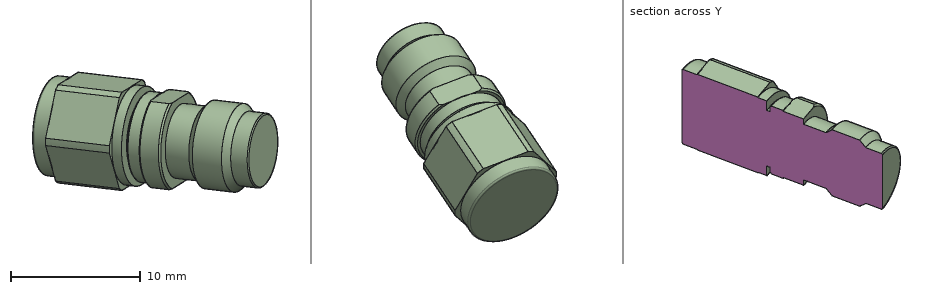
import math

import cadquery as cq


total_length = 17.8
hex_start = 1.36
hex_end = 6.73
collar_end = 7.54
ring_start = 7.8
flange_start = 8.98
flange_end = 10.8
bulge_start = 12.78
bulge_end = 16.31

collar_radius = 3.9
neck_radius = 2.92
ring_radius = 3.55
flange_radius = 3.93
bulge_radius = 3.46

hex_across_flats = 7.9
hex_corner_diameter = 8.8
flange_across_flats = 6.92

collar_fillet = 0.15
ring_chamfer = 0.14
flange_chamfer = 0.14
tip_chamfer = 0.1
bulge_taper = bulge_radius - neck_radius


def cylinder(start, end, radius):
    """Round section about the X axis between two stations."""
    return cq.Workplane("YZ").workplane(offset=start).circle(radius).extrude(end - start)


def coupling_nut():
    """Filleted collar with a hexagon, flats facing +Z and -Z, whose corners are turned round."""
    collar = cylinder(0, collar_end, collar_radius).faces("<X").fillet(collar_fillet)
    hexagon = (
        cq.Workplane("YZ")
        .workplane(offset=hex_start)
        .polygon(6, hex_across_flats / math.cos(math.pi / 6))
        .extrude(hex_end - hex_start)
    )
    corner_cylinder = cylinder(hex_start, hex_end, hex_corner_diameter / 2)
    return collar.union(hexagon.intersect(corner_cylinder))


def ring():
    """Plain ring in front of the flange, chamfered on the nut side."""
    return cylinder(ring_start, flange_start, ring_radius).faces("<X").chamfer(ring_chamfer)


def flange():
    """Chamfered flange with two flats facing +Z and -Z."""
    disc = cylinder(flange_start, flange_end, flange_radius).faces("<X or >X").chamfer(flange_chamfer)
    flats = cq.Workplane("XY").box(2 * total_length, 2 * flange_radius, flange_across_flats)
    return disc.intersect(flats)


def bulge():
    """Enlarged barrel that tapers down to the neck at both ends."""
    return cylinder(bulge_start, bulge_end, bulge_radius).faces("<X or >X").chamfer(bulge_taper)


def neck():
    """Core cylinder from the nut to the chamfered free end."""
    return cylinder(hex_end, total_length, neck_radius).faces(">X").chamfer(tip_chamfer)


result = coupling_nut().union(neck()).union(ring()).union(flange()).union(bulge())